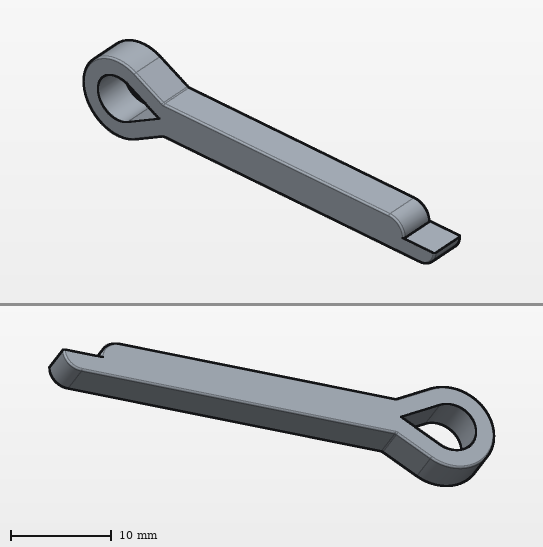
import cadquery as cq
import math

length = 46.0
width = 4.0
eye_radius = 4.6
flare_angle = math.radians(28.8)
upper_leg_end = 42.0
edge_round = 0.205
neck_radius = 0.35

leg_thickness = width / 2
eye_x = eye_radius
hole_radius = eye_radius - leg_thickness
hole_tip_x = eye_x + hole_radius / math.sin(flare_angle)
neck_height = leg_thickness + neck_radius
neck_x = eye_x + (
    eye_radius + neck_radius - neck_height * math.cos(flare_angle)
) / math.sin(flare_angle)
arc_45 = leg_thickness * math.sqrt(0.5)


def tangent_point(radius):
    """Upper point where a straight eye wall leaves a circle of this radius."""
    return (eye_x + radius * math.sin(flare_angle), radius * math.cos(flare_angle))


def neck_point(angle):
    """Point on the upper neck bend, turned by this angle from its lowest point."""
    return (neck_x - neck_radius * math.sin(angle), neck_height - neck_radius * math.cos(angle))


def mirrored(point):
    return (point[0], -point[1])


def rounded_tip_middle(leg_end):
    """Middle of the quarter circle at the end of an upper leg."""
    return (leg_end - leg_thickness + arc_45, arc_45)


def extrude_across(profile):
    return profile.close().extrude(width / 2, both=True)


def pin_blank():
    """Solid eye and both legs, the lower leg longer than the upper one."""
    wall_start = tangent_point(eye_radius)
    profile = (
        cq.Workplane("XZ")
        .moveTo(*wall_start)
        .lineTo(*neck_point(flare_angle))
        .threePointArc(neck_point(flare_angle / 2), (neck_x, leg_thickness))
        .lineTo(upper_leg_end - leg_thickness, leg_thickness)
        .threePointArc(rounded_tip_middle(upper_leg_end), (upper_leg_end, 0))
        .lineTo(length, 0)
        .threePointArc(mirrored(rounded_tip_middle(length)), (length - leg_thickness, -leg_thickness))
        .lineTo(neck_x, -leg_thickness)
        .threePointArc(
            mirrored(neck_point(flare_angle / 2)),
            mirrored(neck_point(flare_angle)),
        )
        .lineTo(*mirrored(wall_start))
        .threePointArc((eye_x - eye_radius, 0), wall_start)
    )
    return extrude_across(profile)


def eye_hole():
    """Teardrop opening, parallel to the outside of the eye."""
    wall_start = tangent_point(hole_radius)
    profile = (
        cq.Workplane("XZ")
        .moveTo(*wall_start)
        .lineTo(hole_tip_x, 0)
        .lineTo(*mirrored(wall_start))
        .threePointArc((eye_x - hole_radius, 0), wall_start)
    )
    return extrude_across(profile)


def round_outer_edges(blank):
    """Round both side outlines, leaving the flat step of the lower leg sharp."""
    step_middle_x = (upper_leg_end + length) / 2
    near_step = cq.selectors.NearestToPointSelector((step_middle_x, -width / 2, 0))
    far_step = cq.selectors.NearestToPointSelector((step_middle_x, width / 2, 0))
    outline = blank.faces("<Y or >Y").edges(
        cq.selectors.InverseSelector(cq.selectors.SumSelector(near_step, far_step))
    )
    return outline.fillet(edge_round)


result = round_outer_edges(pin_blank()).cut(eye_hole())